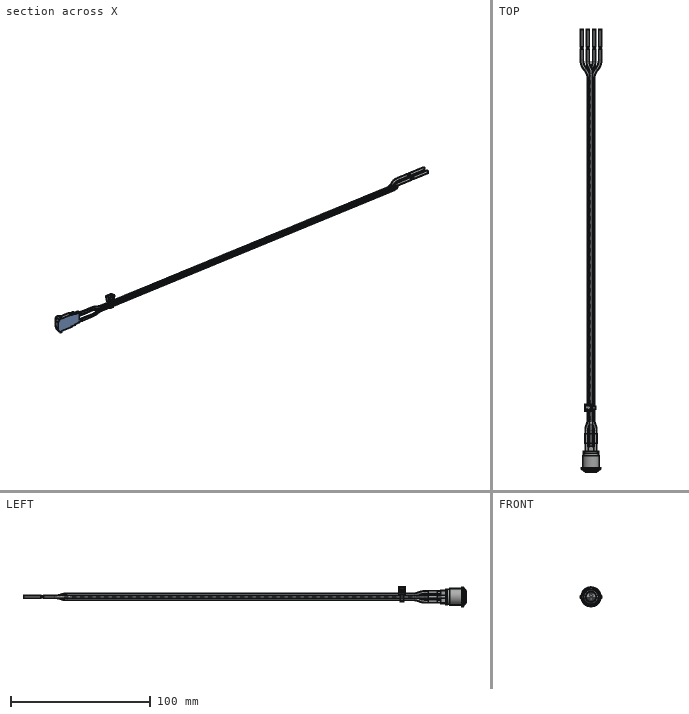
import cadquery as cq
import math

TOTAL_LENGTH = 318.5
TOTAL_WIDTH = 15.4
TOTAL_HEIGHT = 14.14

FACE_DIAMETER = 7.4
DOME_DIAMETER = 9.7
DOME_END = 0.8
CAP_DIAMETER = 11.0
CAP_CONE_END = 1.4
CAP_END = 1.5
FLANGE_FACE_DIAMETER = 11.1
FLANGE_DIAMETER = 14.0
FLANGE_CONE_END = 2.4
FLANGE_END = 3.3
HOUSING_DIAMETER = 12.0
HOUSING_END = 11.9
NECK_DIAMETER = 11.0
NECK_END = 13.7
COLLAR_DIAMETER = 11.1
COLLAR_END = 15.0
TERMINAL_BLOCK_DIAMETER = 9.7
TERMINAL_BLOCK_WIDTH = 4.0
TERMINAL_BLOCK_END = 18.5

WIRE_DIAMETER = 2.2
WIRE_OVERLAP = 0.08
CONDUCTOR_DIAMETER = 1.5
SLEEVE_DIAMETER = 2.4
BUNDLE_RADIUS = (WIRE_DIAMETER - WIRE_OVERLAP) / math.sqrt(2)
BUNDLE_DIAMETER = 2 * BUNDLE_RADIUS + WIRE_DIAMETER
TERMINAL_RADIUS = 3.2
SLEEVE_START = 20.9
SLEEVE_END = 27.6
FRONT_BEND_START = 30.0
FRONT_BEND_END = 37.7

OUTER_WIRE_X = (TOTAL_WIDTH - WIRE_DIAMETER) / 2
INNER_WIRE_X = OUTER_WIRE_X / 3
OUTER_BEND_START = TOTAL_LENGTH - 35.4
OUTER_BEND_END = TOTAL_LENGTH - 22.0
INNER_BEND_START = TOTAL_LENGTH - 31.5
INNER_BEND_END = TOTAL_LENGTH - 23.0
STRIPPED_START = TOTAL_LENGTH - 14.4
TIP_START = TOTAL_LENGTH - 12.5

TIE_Y = 46.3
TIE_STRAP_WIDTH = 2.4
TIE_STRAP_THICKNESS = 0.8
TIE_HEAD_TILT = 20.0
TIE_HEAD_LENGTH = 4.8
TIE_HEAD_WIDTH = 4.4
TIE_TOP = TOTAL_HEIGHT - FLANGE_DIAMETER / 2
TIE_SLOT_LENGTH = 3.0
TIE_SLOT_HEIGHT = 2.0
TIE_SLOT_Z = 5.2


def rod(diameter, start, end, x=0.0, z=0.0):
    """Round rod parallel to Y between two Y positions."""
    axis = cq.Vector(0, 1, 0)
    return cq.Workplane(cq.Solid.makeCylinder(diameter / 2, end - start, cq.Vector(x, start, z), axis))


def s_bend(diameter, start, end):
    """Round wire that leaves both end points along Y, bent through two equal arcs."""
    p0 = cq.Vector(*start)
    p1 = cq.Vector(*end)
    length = p1.y - p0.y
    side = cq.Vector(p1.x - p0.x, 0, p1.z - p0.z)
    offset = side.Length
    middle = (p0 + p1) * 0.5
    bend_radius = (length**2 + offset**2) / (4 * offset)
    half_angle = math.asin(length / 2 / bend_radius) / 2
    along = cq.Vector(0, bend_radius * math.sin(half_angle), 0)
    across = side.normalized() * (bend_radius * (1 - math.cos(half_angle)))
    first_arc = cq.Edge.makeThreePointArc(p0, p0 + along + across, middle)
    second_arc = cq.Edge.makeThreePointArc(middle, p1 - along - across, p1)
    path = cq.Wire.assembleEdges([first_arc, second_arc])
    section = cq.Workplane(cq.Plane(p0, (1, 0, 0), (0, 1, 0))).circle(diameter / 2)
    return section.sweep(cq.Workplane(path))


def make_head():
    """Turned push-button head with a flat-sided terminal block behind it."""
    profile = [
        (0, 0),
        (FACE_DIAMETER / 2, 0),
        (DOME_DIAMETER / 2, DOME_END),
        (CAP_DIAMETER / 2, CAP_CONE_END),
        (CAP_DIAMETER / 2, CAP_END),
        (FLANGE_FACE_DIAMETER / 2, CAP_END),
        (FLANGE_DIAMETER / 2, FLANGE_CONE_END),
        (FLANGE_DIAMETER / 2, FLANGE_END),
        (HOUSING_DIAMETER / 2, FLANGE_END),
        (HOUSING_DIAMETER / 2, HOUSING_END),
        (NECK_DIAMETER / 2, HOUSING_END),
        (NECK_DIAMETER / 2, NECK_END),
        (COLLAR_DIAMETER / 2, NECK_END),
        (COLLAR_DIAMETER / 2, COLLAR_END),
        (0, COLLAR_END),
    ]
    turned = cq.Workplane("XY").polyline(profile).close().revolve(360, (0, 0, 0), (0, 1, 0))
    flats = cq.Workplane("XY").box(TERMINAL_BLOCK_WIDTH, 2 * TERMINAL_BLOCK_END, TERMINAL_BLOCK_DIAMETER)
    block = rod(TERMINAL_BLOCK_DIAMETER, HOUSING_END, TERMINAL_BLOCK_END).intersect(flats)
    return turned.union(block)


def wire_pieces(angle, bend_start, bend_end, free_x):
    """Pieces of one wire, from its terminal at an angle around the Y axis to its free end at free_x."""
    x = TERMINAL_RADIUS * math.cos(angle)
    z = TERMINAL_RADIUS * math.sin(angle)
    bundle_x = BUNDLE_RADIUS * math.cos(angle)
    bundle_z = BUNDLE_RADIUS * math.sin(angle)
    return [
        rod(WIRE_DIAMETER, FRONT_BEND_END, bend_start, bundle_x, bundle_z),
        s_bend(WIRE_DIAMETER, (x, FRONT_BEND_START, z), (bundle_x, FRONT_BEND_END, bundle_z)),
        s_bend(WIRE_DIAMETER, (bundle_x, bend_start, bundle_z), (free_x, bend_end, 0)),
        rod(WIRE_DIAMETER, NECK_END, FRONT_BEND_START, x, z),
        rod(SLEEVE_DIAMETER, SLEEVE_START, SLEEVE_END, x, z),
        rod(WIRE_DIAMETER, bend_end, STRIPPED_START, free_x),
        rod(CONDUCTOR_DIAMETER, STRIPPED_START, TIP_START, free_x),
        rod(WIRE_DIAMETER, TIP_START, TOTAL_LENGTH, free_x),
    ]


def make_button_with_wires():
    """Push-button head and its four wires as one body, joined stage by stage along the wires."""
    free_ends = [
        (OUTER_BEND_START, OUTER_BEND_END, OUTER_WIRE_X),
        (INNER_BEND_START, INNER_BEND_END, -INNER_WIRE_X),
        (OUTER_BEND_START, OUTER_BEND_END, -OUTER_WIRE_X),
        (INNER_BEND_START, INNER_BEND_END, INNER_WIRE_X),
    ]
    wires = []
    for index, free_end in enumerate(free_ends):
        wires.append(wire_pieces(index * 2 * math.pi / len(free_ends), *free_end))
    body = make_head()
    for stage in zip(*wires):
        for piece in stage:
            body = body.union(piece)
    return body


def make_cable_tie():
    """Strap looped tightly around the wire bundle, with a slotted head tilted towards -X."""
    strap_start = TIE_Y - TIE_STRAP_WIDTH / 2
    strap_end = TIE_Y + TIE_STRAP_WIDTH / 2
    strap = rod(BUNDLE_DIAMETER + 2 * TIE_STRAP_THICKNESS, strap_start, strap_end)
    tilt = math.radians(TIE_HEAD_TILT)
    head_height = (TIE_TOP - TIE_HEAD_WIDTH / 2 * math.sin(tilt)) / math.cos(tilt)
    base_z = BUNDLE_DIAMETER / 2
    head = cq.Workplane("XY").box(
        TIE_HEAD_WIDTH, TIE_HEAD_LENGTH, head_height - base_z, centered=(True, True, False)
    )
    head = head.translate((0, TIE_Y, base_z))
    slot = cq.Workplane("XY").box(2 * TIE_HEAD_WIDTH, TIE_SLOT_LENGTH, TIE_SLOT_HEIGHT)
    head = head.cut(slot.translate((0, TIE_Y, TIE_SLOT_Z)))
    head = head.rotate((0, 0, 0), (0, 1, 0), -TIE_HEAD_TILT)
    bore = rod(BUNDLE_DIAMETER, TIE_Y - TIE_HEAD_LENGTH, TIE_Y + TIE_HEAD_LENGTH)
    return strap.union(head).cut(bore)


button_with_wires = make_button_with_wires()
cable_tie = make_cable_tie()

result = cq.Compound.makeCompound([button_with_wires.solids().val(), cable_tie.solids().val()])